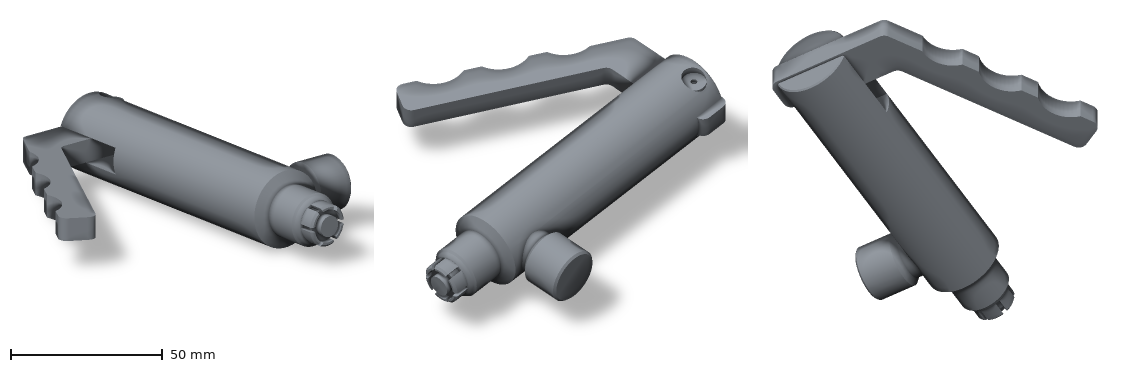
import cadquery as cq
import math

barrel_dia = 26.9
barrel_start_x = 0.5
front_chamfer_length = 0.5
front_face_dia = 26.0
shoulder_x = 101.5
nose_x = 103.9
nose_dia = 18.4
nose_bevel_x = 115.7
nose_round_x = 116.4
nose_round_dia = 17.1
nose_end_x = 117.9
nose_end_dia = 14.5
nose_round_bulge = 0.1

finger_dia = 14.4
finger_bore_dia = 11.4
finger_end_x = 123.5
finger_chamfer = 0.7
core_end_x = 121.5
button_dia = 7.3
button_end_x = 124.1
finger_count = 6
finger_gap = 1.6

knob_x = 90.7
knob_dia = 19.0
knob_neck_dia = 15.1
knob_end_y = 29.9
knob_base_y = 16.5
knob_end_chamfer = 0.7
knob_cone_length = (knob_dia - knob_neck_dia) / 2

slot_width = 9.3
long_slot_end_x = 29.2
short_slot_end_x = 12.8

pivot_x = 6.1
pivot_y = 5.1
pin_dia = 4.8
pin_head_dia = 8.2
pin_head_z = 10.9
pin_recess_dia = 8.3
pin_recess_floor_z = 8.7
pin_socket_dia = 2.2
pin_socket_depth = 1.2

lever_thickness = 8.0
lever_hole_dia = 5.0
lever_top_y = 15.4
lever_head_width = 12.5
arm_width = 15.4
lever_corner_radius = 3.0
bend_y = -24.7
grip_angle = math.radians(30)
grip_length = 70.1
grip_root_thickness = 10.9
grip_thickness = 12.5
scallop_radius = 11.2
scallop_depth = 3.5
scallop_pitch = 22.5
scallop_count = 3
first_scallop = 9.3


def make_cylinder_z(x, y, dia, bottom_z, top_z):
    return cq.Workplane("XY", origin=(x, y, bottom_z)).circle(dia / 2).extrude(top_z - bottom_z)


def make_barrel():
    """Turned barrel with a chamfered front face and a stepped, rounded nose."""
    round_mid_x = (nose_round_x + nose_end_x) / 2 + nose_round_bulge
    round_mid_radius = (nose_round_dia + nose_end_dia) / 4 + nose_round_bulge
    return (
        cq.Workplane("XY")
        .moveTo(barrel_start_x, 0)
        .lineTo(barrel_start_x, front_face_dia / 2)
        .lineTo(barrel_start_x + front_chamfer_length, barrel_dia / 2)
        .lineTo(shoulder_x, barrel_dia / 2)
        .lineTo(nose_x, nose_dia / 2)
        .lineTo(nose_bevel_x, nose_dia / 2)
        .lineTo(nose_round_x, nose_round_dia / 2)
        .threePointArc((round_mid_x, round_mid_radius), (nose_end_x, nose_end_dia / 2))
        .lineTo(nose_end_x, 0)
        .close()
        .revolve(360, (0, 0, 0), (1, 0, 0))
    )


def make_tip():
    """Ring of fingers around a core that carries a central button."""
    finger_length = finger_end_x - nose_end_x
    nose_end = cq.Workplane("YZ", origin=(nose_end_x, 0, 0))
    fingers = (
        nose_end.circle(finger_dia / 2)
        .extrude(finger_length)
        .faces(">X").chamfer(finger_chamfer)
    )
    fingers = fingers.cut(nose_end.circle(finger_bore_dia / 2).extrude(finger_length))
    for i in range(finger_count):
        gap = cq.Workplane("XY").box(finger_length, finger_dia, finger_gap, centered=(False, False, True))
        gap = gap.translate((nose_end_x, 0, 0)).rotate((0, 0, 0), (1, 0, 0), i * 360 / finger_count)
        fingers = fingers.cut(gap)
    core = nose_end.circle(finger_bore_dia / 2).extrude(core_end_x - nose_end_x)
    button = nose_end.circle(button_dia / 2).extrude(button_end_x - nose_end_x)
    return fingers.union(core).union(button)


def make_knob():
    """Side knob turned about an axis along +Y, its neck sunk to the barrel axis."""
    return (
        cq.Workplane("XY", origin=(knob_x, 0, 0))
        .lineTo(knob_neck_dia / 2, 0)
        .lineTo(knob_neck_dia / 2, knob_base_y - knob_cone_length)
        .lineTo(knob_dia / 2, knob_base_y)
        .lineTo(knob_dia / 2, knob_end_y - knob_end_chamfer)
        .lineTo(knob_dia / 2 - knob_end_chamfer, knob_end_y)
        .lineTo(0, knob_end_y)
        .close()
        .revolve(360, (0, 0, 0), (0, 1, 0))
    )


def make_slot():
    """Stepped slot, open at the front face, longer on the -Y side."""
    return (
        cq.Workplane("XY", origin=(0, 0, -slot_width / 2))
        .moveTo(0, -barrel_dia)
        .lineTo(long_slot_end_x, -barrel_dia)
        .lineTo(long_slot_end_x, 0)
        .lineTo(short_slot_end_x, 0)
        .lineTo(short_slot_end_x, barrel_dia)
        .lineTo(0, barrel_dia)
        .close()
        .extrude(slot_width)
    )


def make_pin():
    """Pivot pin crossing the slot, with a socketed head in the barrel's recess."""
    shank = make_cylinder_z(pivot_x, pivot_y, pin_dia, -slot_width / 2, pin_recess_floor_z)
    head = make_cylinder_z(pivot_x, pivot_y, pin_head_dia, pin_recess_floor_z, pin_head_z)
    socket = make_cylinder_z(pivot_x, pivot_y, pin_socket_dia, pin_head_z - pin_socket_depth, pin_head_z)
    return shank.union(head).cut(socket)


def make_housing():
    recess = make_cylinder_z(pivot_x, pivot_y, pin_recess_dia, pin_recess_floor_z, barrel_dia / 2)
    barrel = make_barrel().union(make_knob()).union(make_tip())
    return barrel.cut(make_slot()).cut(recess).union(make_pin())


def grip_point(along, depth):
    """Point on the grip: distance along it from the inner bend, depth below its inner edge."""
    return (
        arm_width + along * math.cos(grip_angle) - depth * math.sin(grip_angle),
        bend_y - along * math.sin(grip_angle) - depth * math.cos(grip_angle),
    )


def make_lever():
    """Flat lever: head, arm, and a grip with finger scallops."""
    root_start_along = (grip_root_thickness * math.sin(grip_angle) - arm_width) / math.cos(grip_angle)
    root_start = grip_point(root_start_along, grip_root_thickness)
    lever = (
        cq.Workplane("XY", origin=(0, 0, -lever_thickness / 2))
        .moveTo(0, lever_top_y)
        .lineTo(lever_head_width, lever_top_y)
        .lineTo(lever_head_width, 0)
        .lineTo(arm_width, 0)
        .lineTo(arm_width, bend_y)
        .lineTo(*grip_point(grip_length, 0))
        .lineTo(*grip_point(grip_length, grip_thickness))
        .lineTo(*grip_point(first_scallop, grip_thickness))
        .lineTo(*grip_point(first_scallop, grip_root_thickness))
        .lineTo(*root_start)
        .close()
        .extrude(lever_thickness)
    )
    rounded_corners = [
        (0, lever_top_y),
        (lever_head_width, lever_top_y),
        (arm_width, bend_y),
        grip_point(grip_length, 0),
        grip_point(grip_length, grip_thickness),
        root_start,
    ]
    for x, y in rounded_corners:
        corner = cq.selectors.NearestToPointSelector((x, y, 0))
        lever = lever.edges("|Z").edges(corner).fillet(lever_corner_radius)

    scallop_center_depth = grip_thickness - scallop_depth + scallop_radius
    for i in range(scallop_count):
        x, y = grip_point(first_scallop + i * scallop_pitch, scallop_center_depth)
        scallop = make_cylinder_z(x, y, 2 * scallop_radius, -lever_thickness / 2, lever_thickness / 2)
        lever = lever.cut(scallop)

    hole = make_cylinder_z(pivot_x, pivot_y, lever_hole_dia, -lever_thickness / 2, lever_thickness / 2)
    return lever.cut(hole)


housing = make_housing()
lever = make_lever()
result = cq.Compound.makeCompound([housing.val(), lever.val()])